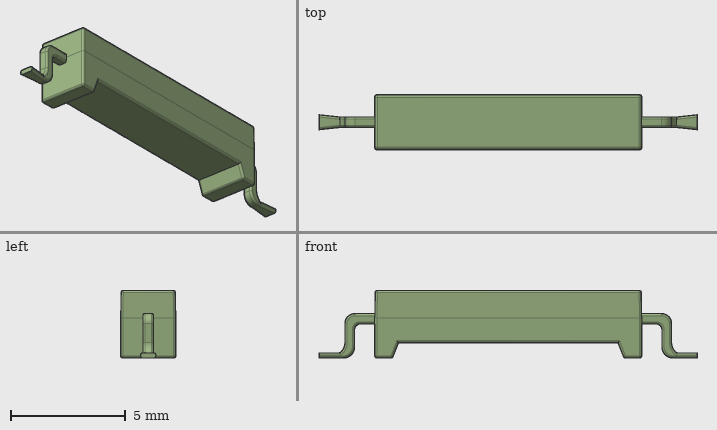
import cadquery as cq
import math

length = 16.46
body_length = 11.62
body_width = 2.4
body_height = 2.95
parting_height = 1.75
upper_draft = 0.9
edge_radius = 0.1

recess_height = 0.66
recess_top_half = 4.77
recess_bottom_half = 5.04

wire_size = 0.46
leg_thickness = 0.43
wire_height = 1.71
leg_inner_x = 6.68
foot_start_x = 7.32
foot_thickness = 0.23
foot_end_width = 0.66
shoulder_outer_radius = 0.45
shoulder_inner_radius = 0.25
heel_outer_radius = 0.5
heel_inner_radius = 0.6
lead_embed = 0.33
tolerance = 0.002


def arc_point(center, radius, angle):
    """Point on a circle in the XZ plane, angle in degrees from +X toward +Z."""
    a = math.radians(angle)
    return (center[0] + radius * math.cos(a), center[1] + radius * math.sin(a))


def make_body():
    """Block with a drafted upper half, a sloped recess underneath and rounded outer edges."""
    upper = (
        cq.Workplane("XY")
        .workplane(offset=parting_height)
        .rect(body_length, body_width)
        .extrude(body_height - parting_height, taper=upper_draft)
    )
    upper = upper.edges("not <Z").fillet(edge_radius)
    block = upper.faces("<Z").wires().toPending().workplane().extrude(parting_height)

    recess = (
        cq.Workplane("XZ")
        .polyline([
            (-recess_bottom_half, 0),
            (-recess_top_half, recess_height),
            (recess_top_half, recess_height),
            (recess_bottom_half, 0),
        ])
        .close()
        .extrude(body_width, both=True)
    )
    block = block.cut(recess)

    def is_underside_rim(edge):
        """True for the edges around the bottom outline, false inside the recess and on the walls."""
        at_recess_top = abs(edge.Center().z - recess_height) < tolerance
        crosses_recess = at_recess_top and edge.BoundingBox().xlen < tolerance
        return edge.Center().z < recess_height + tolerance and not crosses_recess

    return block.edges("not |Z").filter(is_underside_rim).fillet(edge_radius)


def make_lead():
    """Lead on the +X end: out of the body, down, and out again along a flared foot."""
    wire_bottom = wire_height - wire_size / 2
    wire_top = wire_height + wire_size / 2
    leg_outer_x = leg_inner_x + leg_thickness
    root_x = body_length / 2 - lead_embed

    heel_inner_x = leg_outer_x + heel_inner_radius
    heel_angle = math.degrees(math.acos((heel_inner_x - foot_start_x) / heel_inner_radius))
    heel_drop = heel_inner_radius * math.sin(math.radians(heel_angle))
    heel_inner_center = (heel_inner_x, foot_thickness + heel_drop)
    heel_outer_center = (leg_inner_x + heel_outer_radius, heel_outer_radius)
    outer_center = (leg_outer_x - shoulder_outer_radius, wire_top - shoulder_outer_radius)
    inner_center = (leg_inner_x - shoulder_inner_radius, wire_bottom - shoulder_inner_radius)

    side = (
        cq.Workplane("XZ")
        .moveTo(root_x, wire_top)
        .lineTo(outer_center[0], wire_top)
        .threePointArc(arc_point(outer_center, shoulder_outer_radius, 45), (leg_outer_x, outer_center[1]))
        .lineTo(leg_outer_x, heel_inner_center[1])
        .threePointArc(
            arc_point(heel_inner_center, heel_inner_radius, 180 + heel_angle / 2),
            (foot_start_x, foot_thickness),
        )
        .lineTo(length / 2, foot_thickness)
        .lineTo(length / 2, 0)
        .lineTo(heel_outer_center[0], 0)
        .threePointArc(arc_point(heel_outer_center, heel_outer_radius, 225), (leg_inner_x, heel_outer_radius))
        .lineTo(leg_inner_x, inner_center[1])
        .threePointArc(arc_point(inner_center, shoulder_inner_radius, 45), (inner_center[0], wire_bottom))
        .lineTo(root_x, wire_bottom)
        .close()
        .extrude(body_width, both=True)
    )
    plan = (
        cq.Workplane("XY")
        .polyline([
            (root_x, -wire_size / 2),
            (foot_start_x, -wire_size / 2),
            (length / 2, -foot_end_width / 2),
            (length / 2, foot_end_width / 2),
            (foot_start_x, wire_size / 2),
            (root_x, wire_size / 2),
        ])
        .close()
        .extrude(body_height)
    )
    lead = side.intersect(plan)

    def runs_along_wire(edge):
        """True for the long edges, false for the upright ones at the root, flare and tip."""
        is_upright = edge.BoundingBox().xlen < tolerance
        return not is_upright or leg_inner_x - tolerance < edge.Center().x < leg_outer_x + tolerance

    return lead.edges("not |Y").filter(runs_along_wire).fillet(edge_radius)


body = make_body()
lead = make_lead()
result = body.union(lead).union(lead.mirror("YZ"))